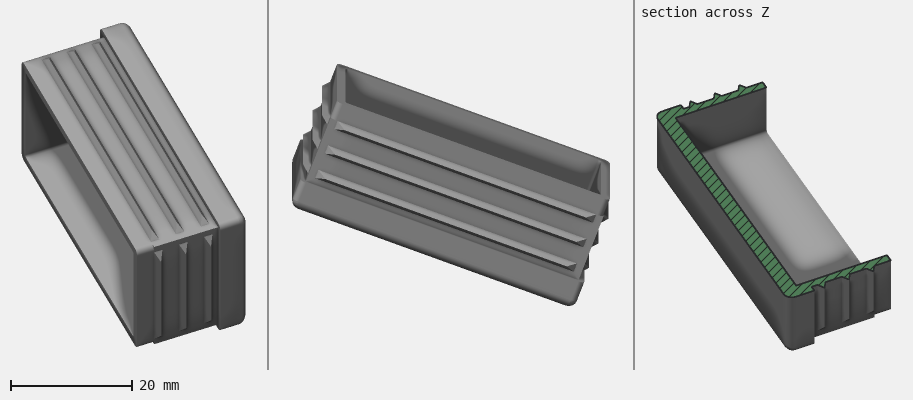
import cadquery as cq

overall_width = 50.35
overall_depth = 19.5
rib_height = 1.15
body_width = overall_width - 2 * rib_height
body_height = 23.0

cap_width = 50.0
cap_height = 25.0
cap_thickness = 5.0
cap_back_radius = 1.5

wall = 1.5
corner_radius = 1.0
short_rounding_length = 3.0
cavity_depth = 16.65
cavity_corner_radius = 0.5

rib_base = 1.5
rib_count = 3
rib_pitch = 4.5
rib_end_gap = 1.25
rib_end_taper = 1.5
rib_gap_to_cap = 1.0

back_y = overall_depth / 2
front_y = -back_y
shoulder_y = back_y - cap_thickness
first_rib_y = shoulder_y - rib_gap_to_cap - rib_base / 2


def block(width, height, y_start, y_end):
    """Box centred on the Y axis that spans y_start to y_end."""
    length = y_end - y_start
    return cq.Workplane("XY").box(width, length, height).translate((0, y_start + length / 2, 0))


def make_cap():
    cap = block(cap_width, cap_height, shoulder_y, back_y)
    return cap.edges("|Y").fillet(corner_radius).faces(">Y").edges().fillet(cap_back_radius)


def make_body():
    """Body whose corners are round at the mouth; only the -X +Z corner is round all the way."""
    step_y = front_y + short_rounding_length
    mouth = block(body_width, body_height, front_y, step_y).edges("|Y").fillet(corner_radius)
    rear = block(body_width, body_height, step_y, shoulder_y)
    rear = rear.edges("|Y and <X and >Z").fillet(corner_radius)
    return mouth.union(rear)


def make_cavity():
    cavity = block(body_width - 2 * wall, body_height - 2 * wall, front_y, front_y + cavity_depth)
    return cavity.edges("|Y").fillet(cavity_corner_radius)


def make_rib(length):
    """Triangular ridge along X on the plane Z = 0, pointing up, with sloping ends."""
    half_length = length / 2
    half_base = rib_base / 2
    section = [(-half_base, 0), (half_base, 0), (0, rib_height)]
    profile = [
        (-half_length, 0),
        (half_length, 0),
        (half_length - rib_end_taper, rib_height),
        (-half_length + rib_end_taper, rib_height),
    ]
    ridge = cq.Workplane("YZ").polyline(section).close().extrude(half_length, both=True)
    hip = cq.Workplane("XZ").polyline(profile).close().extrude(half_base, both=True)
    return ridge.intersect(hip)


def make_side_ribs(side_length, surface_distance, turn):
    """Rib row on the side found by turning the top side about the Y axis by the given degrees."""
    rib = make_rib(side_length - 2 * rib_end_gap).translate((0, 0, surface_distance))
    rib = rib.rotate((0, 0, 0), (0, 1, 0), turn)
    return [rib.translate((0, first_rib_y - i * rib_pitch, 0)) for i in range(rib_count)]


def make_all_ribs():
    ribs = []
    for turn in (0, 180):
        ribs += make_side_ribs(body_width, body_height / 2, turn)
    for turn in (90, 270):
        ribs += make_side_ribs(body_height, body_width / 2, turn)
    return ribs


result = make_cap().union(make_body())
for rib in make_all_ribs():
    result = result.union(rib)
result = result.cut(make_cavity())